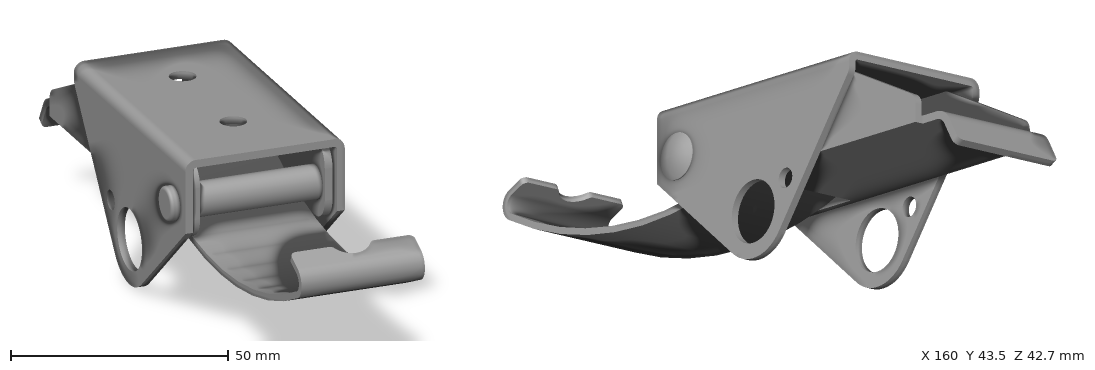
import cadquery as cq
import math

SHEET = 1.9
CUT = 160.0

HOUSING_LENGTH = 67.5
HOUSING_WIDTH = 39.7
HOUSING_HEIGHT = 42.7
HOUSING_BEND = 2.5
REAR_EDGE_DEPTH = 4.8
FRONT_EDGE_DEPTH = 17.9
EDGE_CORNER_RADIUS = 3.2
NOSE_RADIUS = 11.2
BIG_HOLE_DIAMETER = 15.0
SMALL_HOLE_DIAMETER = 4.8
SMALL_HOLE_X = -11.4
SMALL_HOLE_Z = -25.9
TOP_HOLE_DIAMETER = 6.4
TOP_HOLE_SPACING = 30.7
TOP_HOLES_X = -0.8

RIVET_X = 26.5
RIVET_Z = -12.8
RIVET_RADIUS = 4.2
RIVET_TAIL = 2.2
RIVET_TAIL_ROUND = 0.8
RIVET_HEAD_RADIUS = 5.6
RIVET_HEAD_RIM = 0.3
RIVET_DOME_HEIGHT = 1.3

LEVER_WIDTH = 34.9
LEVER_REAR_X = -54.2
LEVER_TOP_Z = -2.0
LEVER_FLOOR_Z = -19.2
LEVER_FLOOR_END_X = 6.4
LEVER_REAR_EDGE_Z = -14.7
LEVER_SLOPE = 25.0
LEVER_REAR_ROUND = 3.0
LEVER_END_RADIUS = 5.6
HANDLE_WIDTH = 30.4
HANDLE_BEND_X = -59.2
HANDLE_BEND = 5.0
HANDLE_ANGLE = 60.0
HANDLE_LIP = 6.5
HANDLE_CORNER = 1.6

STRAP_WIDTH = 30.7
STRAP_THICKNESS = 1.6
BOW_RADIUS = 102.4
BOW_X = 44.5
BOW_LOW_Z = -24.8
EYE_ANGLE = -27.7
EYE_RADIUS = 4.5
HOOK_ANGLE = 27.0
HOOK_RADIUS = 4.0
HOOK_TIP_SLOPE = 25.0
HOOK_TIP_LENGTH = 5.3
HOOK_CORNER = 1.5
NOTCH_WIDTH = 9.6
NOTCH_DEPTH = 3.0


def polar(center, radius, angle):
    """Point on a circle; the angle in degrees runs from the first axis towards the second."""
    a = math.radians(angle)
    return center[0] + radius * math.cos(a), center[1] + radius * math.sin(a)


def side_plate(sketch, thickness, y_max):
    """Extrude an XZ outline towards -Y, starting at y_max."""
    return sketch.extrude(thickness).translate((0, y_max, 0))


def tangent_angle(corner, center, radius, side):
    """Angle at which the line from a corner touches a circle, on the -X (+1) or +X (-1) side."""
    dx = corner[0] - center[0]
    dz = corner[1] - center[1]
    return math.degrees(math.atan2(dz, dx) + side * math.acos(radius / math.hypot(dx, dz)))


def cross_hole(x, z, diameter):
    """Cylinder along Y that cuts through everything."""
    return cq.Workplane("XZ").center(x, z).circle(diameter / 2).extrude(CUT / 2, both=True)


def make_housing():
    """Channel whose side walls narrow down to a round nose."""
    half = HOUSING_LENGTH / 2
    nose = (0, NOSE_RADIUS - HOUSING_HEIGHT)
    rear = (-half, -REAR_EDGE_DEPTH)
    front = (half, -FRONT_EDGE_DEPTH)
    rear_touch = polar(nose, NOSE_RADIUS, tangent_angle(rear, nose, NOSE_RADIUS, 1))
    front_touch = polar(nose, NOSE_RADIUS, tangent_angle(front, nose, NOSE_RADIUS, -1))
    outline = (
        cq.Workplane("XZ")
        .moveTo(-half, 0)
        .lineTo(*rear)
        .lineTo(*rear_touch)
        .threePointArc((0, -HOUSING_HEIGHT), front_touch)
        .lineTo(*front)
        .lineTo(half, 0)
        .close()
    )
    block = side_plate(outline, HOUSING_WIDTH, HOUSING_WIDTH / 2)
    block = block.faces("<X").edges("|Y and <Z").fillet(EDGE_CORNER_RADIUS)
    block = block.faces(">Z").edges("|X").fillet(HOUSING_BEND)

    inside_width = HOUSING_WIDTH - 2 * SHEET
    inside = (
        cq.Workplane("XY")
        .box(CUT, inside_width, HOUSING_HEIGHT, centered=(True, True, False))
        .edges("|X and >Z")
        .fillet(HOUSING_BEND - SHEET)
        .translate((0, 0, -SHEET - HOUSING_HEIGHT))
    )
    top_holes = (
        cq.Workplane("XY")
        .center(TOP_HOLES_X, 0)
        .rarray(TOP_HOLE_SPACING, 1.6, 2, 1)
        .circle(TOP_HOLE_DIAMETER / 2)
        .extrude(-2 * SHEET)
    )
    return (
        block.cut(inside)
        .cut(top_holes)
        .cut(cross_hole(*nose, BIG_HOLE_DIAMETER))
        .cut(cross_hole(SMALL_HOLE_X, SMALL_HOLE_Z, SMALL_HOLE_DIAMETER))
        .cut(cross_hole(RIVET_X, RIVET_Z, 2 * RIVET_RADIUS))
    )


def make_lever_wall(y_max):
    """Side wall with a sloping rear and rounded pivot end; y_max is its +Y face."""
    bottom = LEVER_FLOOR_Z - SHEET
    slope_run = (LEVER_TOP_Z - LEVER_REAR_EDGE_Z) / math.tan(math.radians(LEVER_SLOPE))
    end_x = RIVET_X + LEVER_END_RADIUS
    outline = cq.Workplane("XZ").polyline(
        [
            (LEVER_REAR_X, bottom),
            (LEVER_REAR_X, LEVER_REAR_EDGE_Z),
            (LEVER_REAR_X + slope_run, LEVER_TOP_Z),
            (end_x, LEVER_TOP_Z),
            (end_x, bottom),
        ]
    ).close()
    wall = side_plate(outline, SHEET, y_max)
    wall = wall.faces(">X").edges("|Y").fillet(LEVER_END_RADIUS)
    return wall.faces("<X").edges("|Y and >Z").fillet(LEVER_REAR_ROUND)


def end_tab(length, width, thickness, corner, slope, corner_point, notch=None):
    """Flat end of a bent strip: it runs towards -X from corner_point, rising by the slope in degrees."""
    tab = cq.Workplane("XY").box(length, width, thickness, centered=(True, True, False))
    tab = tab.translate((-length / 2, 0, -thickness))
    if notch is not None:
        tab = tab.cut(notch)
    tab = tab.edges("|Z and <X").fillet(corner)
    tab = tab.rotate((0, 0, 0), (0, 1, 0), slope)
    return tab.translate((corner_point[0], 0, corner_point[1]))


def make_handle():
    """Narrow strip that carries on the lever floor and bends down."""
    top = LEVER_FLOOR_Z
    bend_center = (HANDLE_BEND_X, top - HANDLE_BEND)
    inner_bend = HANDLE_BEND - SHEET
    end_angle = 90 + HANDLE_ANGLE
    middle_angle = 90 + HANDLE_ANGLE / 2
    outer_end = polar(bend_center, HANDLE_BEND, end_angle)
    outline = (
        cq.Workplane("XZ")
        .moveTo(LEVER_REAR_X, top)
        .lineTo(HANDLE_BEND_X, top)
        .threePointArc(polar(bend_center, HANDLE_BEND, middle_angle), outer_end)
        .lineTo(*polar(bend_center, inner_bend, end_angle))
        .threePointArc(polar(bend_center, inner_bend, middle_angle), (HANDLE_BEND_X, top - SHEET))
        .lineTo(LEVER_REAR_X, top - SHEET)
        .close()
    )
    bend = side_plate(outline, HANDLE_WIDTH, HANDLE_WIDTH / 2)
    lip = end_tab(HANDLE_LIP, HANDLE_WIDTH, SHEET, HANDLE_CORNER, -HANDLE_ANGLE, outer_end)
    return bend.union(lip)


def make_lever():
    """Floor, handle and walls in one solid; clean=False keeps the face of each part separate."""
    half = LEVER_WIDTH / 2
    floor = cq.Workplane("XY").box(
        LEVER_FLOOR_END_X - LEVER_REAR_X, LEVER_WIDTH, SHEET, centered=(False, True, False)
    ).translate((LEVER_REAR_X, 0, LEVER_FLOOR_Z - SHEET))
    lever = floor.union(make_handle(), clean=False)
    for y_max in (half, SHEET - half):
        lever = lever.union(make_lever_wall(y_max), clean=False)
    return lever.cut(cross_hole(RIVET_X, RIVET_Z, 2 * RIVET_RADIUS), clean=False)


def make_strap():
    """Bowed strip along a circular arc, with a notched hook tip and a rolled eye."""
    bow_center = (BOW_X, BOW_LOW_Z + BOW_RADIUS)
    upper_radius = BOW_RADIUS - STRAP_THICKNESS
    start = EYE_ANGLE - 90
    end = HOOK_ANGLE - 90
    hook_center = polar(bow_center, BOW_RADIUS - HOOK_RADIUS, end)
    hook_inner = HOOK_RADIUS - STRAP_THICKNESS
    tip_angle = 90 - HOOK_TIP_SLOPE
    hook_middle = (end + tip_angle) / 2
    tip_start = polar(hook_center, HOOK_RADIUS, tip_angle)
    outline = (
        cq.Workplane("XZ")
        .moveTo(*polar(bow_center, BOW_RADIUS, start))
        .threePointArc(polar(bow_center, BOW_RADIUS, -90), polar(bow_center, BOW_RADIUS, end))
        .threePointArc(polar(hook_center, HOOK_RADIUS, hook_middle), tip_start)
        .lineTo(*polar(hook_center, hook_inner, tip_angle))
        .threePointArc(polar(hook_center, hook_inner, hook_middle), polar(bow_center, upper_radius, end))
        .threePointArc(polar(bow_center, upper_radius, -90), polar(bow_center, upper_radius, start))
        .close()
    )
    strip = side_plate(outline, STRAP_WIDTH, STRAP_WIDTH / 2)

    notch_radius = (NOTCH_WIDTH**2 / 4 + NOTCH_DEPTH**2) / (2 * NOTCH_DEPTH)
    notch = (
        cq.Workplane("XY")
        .center(NOTCH_DEPTH - notch_radius - HOOK_TIP_LENGTH, 0)
        .circle(notch_radius)
        .extrude(STRAP_THICKNESS, both=True)
    )
    tip = end_tab(
        HOOK_TIP_LENGTH, STRAP_WIDTH, STRAP_THICKNESS, HOOK_CORNER, HOOK_TIP_SLOPE, tip_start, notch
    )

    eye_center = polar(bow_center, BOW_RADIUS - EYE_RADIUS, start)
    eye_outline = cq.Workplane("XZ").center(*eye_center).circle(EYE_RADIUS)
    eye = side_plate(eye_outline, STRAP_WIDTH, STRAP_WIDTH / 2)
    eye_hole = cross_hole(*eye_center, 2 * (EYE_RADIUS - STRAP_THICKNESS))
    return strip.union(tip).union(eye).cut(eye_hole)


def make_rivet():
    """Round shank with a domed head on the +Y side and a rounded tail on the -Y side."""
    tail_y = -HOUSING_WIDTH / 2 - RIVET_TAIL
    head_y = HOUSING_WIDTH / 2
    shank_outline = cq.Workplane("XZ").center(RIVET_X, RIVET_Z).circle(RIVET_RADIUS)
    shank = side_plate(shank_outline, head_y - tail_y, head_y)
    shank = shank.faces("<Y").edges().fillet(RIVET_TAIL_ROUND)

    rim_y = head_y + RIVET_HEAD_RIM
    dome_y = rim_y + RIVET_DOME_HEIGHT
    dome_radius = (RIVET_HEAD_RADIUS**2 + RIVET_DOME_HEIGHT**2) / (2 * RIVET_DOME_HEIGHT)
    dome_half_angle = math.degrees(math.asin(RIVET_HEAD_RADIUS / dome_radius))
    dome_middle = polar((0, dome_y - dome_radius), dome_radius, 90 - dome_half_angle / 2)
    head = (
        cq.Workplane("XY")
        .moveTo(0, head_y)
        .lineTo(RIVET_HEAD_RADIUS, head_y)
        .lineTo(RIVET_HEAD_RADIUS, rim_y)
        .threePointArc(dome_middle, (0, dome_y))
        .close()
        .revolve(360, (0, 0, 0), (0, 1, 0))
        .translate((RIVET_X, 0, RIVET_Z))
    )
    return shank.union(head)


housing = make_housing()
lever = make_lever()
strap = make_strap()
rivet = make_rivet()
result = cq.Compound.makeCompound([housing.val(), lever.val(), strap.val(), rivet.val()])